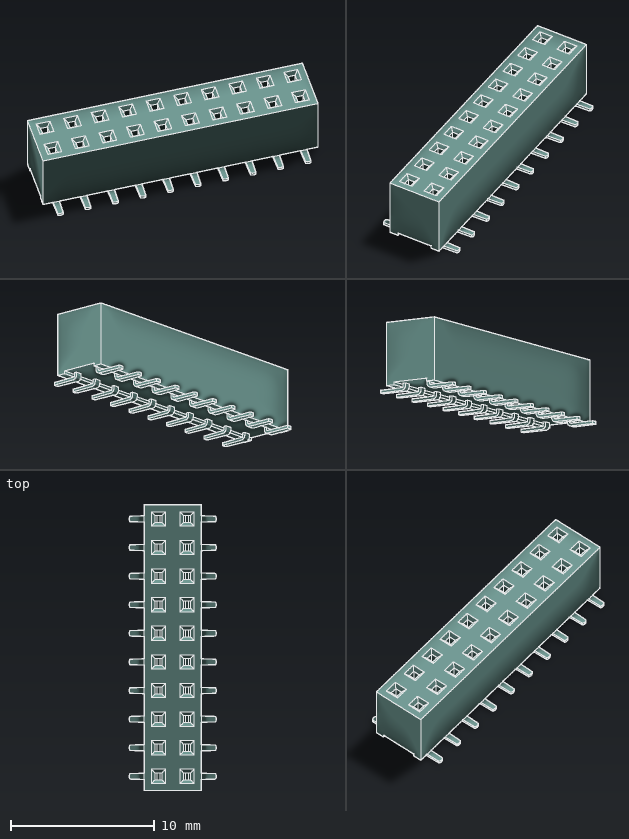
import cadquery as cq

length = 20.0
housing_width = 4.0
top_z = 4.8
foot_bottom_z = 0.3
foot_height = 0.2
recess_width = 2.7

rows = 10
pitch = 2.0

mouth_size = 1.0
well_size = 0.5
well_floor_z = 2.0

lead_thickness = 0.2
lead_span = 6.1
post_width = 0.5
tip_width = 0.4
tip_bulge = 0.05
bend_inner_radius = 0.1
post_rise = 0.1

mouth_depth = (mouth_size - well_size) / 2
post_top_z = well_floor_z + post_rise
tail_end_x = lead_span / 2
tip_corner_x = tail_end_x - tip_bulge
post_inner_x = (pitch - lead_thickness) / 2
post_outer_x = post_inner_x + lead_thickness
bend_outer_radius = bend_inner_radius + lead_thickness
bend_end_x = post_inner_x + bend_outer_radius
row_positions = [(row - (rows - 1) / 2) * pitch for row in range(rows)]


def make_housing():
    """Long block with a full-length recess between its two feet."""
    block = cq.Workplane("XY").box(
        housing_width, length, top_z - foot_bottom_z, centered=(True, True, False)
    )
    recess = cq.Workplane("XY").box(
        recess_width, length, foot_height, centered=(True, True, False)
    )
    return block.cut(recess).translate((0, 0, foot_bottom_z))


def make_socket():
    """Cutter for one socket, centred on the Z axis."""
    mouth = (
        cq.Workplane("XY", origin=(0, 0, top_z))
        .rect(mouth_size, mouth_size)
        .workplane(offset=-mouth_depth)
        .rect(well_size, well_size)
        .loft()
    )
    well_height = top_z - mouth_depth - well_floor_z
    well = cq.Workplane("XY", origin=(0, 0, well_floor_z)).rect(well_size, well_size).extrude(well_height)
    return mouth.union(well)


def make_lead():
    """Lead on the +X side whose tail narrows toward a rounded tip."""
    profile = (
        cq.Workplane("XZ")
        .moveTo(post_inner_x, post_top_z)
        .lineTo(post_inner_x, bend_outer_radius)
        .radiusArc((bend_end_x, 0), -bend_outer_radius)
        .lineTo(tail_end_x, 0)
        .lineTo(tail_end_x, lead_thickness)
        .lineTo(bend_end_x, lead_thickness)
        .radiusArc((post_outer_x, bend_outer_radius), bend_inner_radius)
        .lineTo(post_outer_x, post_top_z)
        .close()
        .extrude(post_width / 2, both=True)
    )
    plan = (
        cq.Workplane("XY")
        .moveTo(post_inner_x, -post_width / 2)
        .lineTo(bend_end_x, -post_width / 2)
        .lineTo(tip_corner_x, -tip_width / 2)
        .threePointArc((tail_end_x, 0), (tip_corner_x, tip_width / 2))
        .lineTo(bend_end_x, post_width / 2)
        .lineTo(post_inner_x, post_width / 2)
        .close()
        .extrude(post_top_z)
    )
    return profile.intersect(plan)


socket = make_socket()
right_lead = make_lead()
left_lead = right_lead.mirror("YZ")

result = make_housing()
for y in row_positions:
    for socket_x in (-pitch / 2, pitch / 2):
        result = result.cut(socket.translate((socket_x, y, 0)))
    for lead in (left_lead, right_lead):
        result = result.union(lead.translate((0, y, 0)))